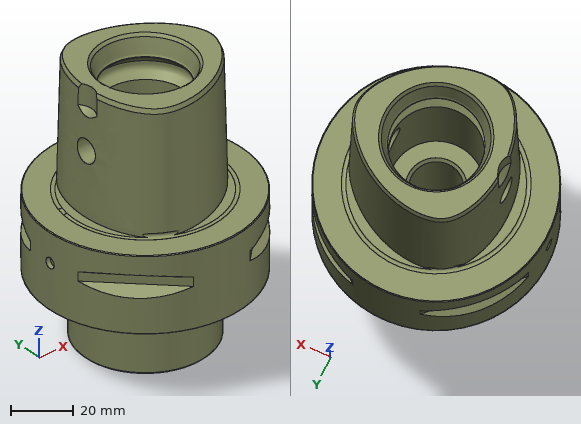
import cadquery as cq
import math

TOTAL_HEIGHT = 103.0
SHANK_HEIGHT = 48.0
FLANGE_HEIGHT = 30.0
FLANGE_TOP = TOTAL_HEIGHT - SHANK_HEIGHT
FLANGE_BOTTOM = FLANGE_TOP - FLANGE_HEIGHT

FLANGE_RADIUS = 80.0 / 2
FLANGE_CHAMFER = 0.3
BOSS_RADIUS = 50.0 / 2
BOSS_CHAMFER = 0.9
BOSS_FILLET = 2.0

LOBE_MEAN_RADIUS = 27.5
LOBE_ECCENTRICITY = 2.0
TAPER_PER_SIDE = 1 / 40
LOBE_CORNER_ANGLE = 26.3
STRAIGHT_BAND = 2.0
SHANK_CHAMFER_INSET = 0.7
SHANK_CHAMFER_HEIGHT = 1.6
SHANK_ROOT_DEPTH = 2.1
LOBE_COUNT = 3

RELIEF_RING_RADIUS = 29.8
RELIEF_SECTION_RADIUS = 1.0
RELIEF_RISE = 0.7

MOUTH_RADIUS = 18.5
MOUTH_CHAMFER_DEPTH = 1.1
FUNNEL_TOP_RADIUS = 17.6
FUNNEL_BOTTOM_RADIUS = 32.0 / 2
FUNNEL_DEPTH = 6.9
LIP_RADIUS = 31.3 / 2
LIP_TOP_DEPTH = 7.5
LIP_BOTTOM_DEPTH = 7.8
CLAMP_GROOVE_RADIUS = 38.0 / 2
CLAMP_GROOVE_DEPTH = LIP_BOTTOM_DEPTH + CLAMP_GROOVE_RADIUS - LIP_RADIUS
CLAMP_FILLET_DEPTH = 12.5
CLAMP_FILLET_RADIUS = 2.5
CLAMP_FLOOR_SLOPE = math.radians(35)
BORE_RADIUS = 31.1 / 2
BORE_DEPTH = 51.5
THROUGH_RADIUS = 17.8 / 2
THROUGH_CHAMFER = 1.0

CROSS_HOLE_DIAMETER = 9.1
CROSS_HOLE_DEPTH = 23.3
CROSS_HOLE_FLOOR_X = 18.5
NOTCH_RADIUS = 6.9
NOTCH_DEEPEST_X = -22.5
NOTCH_DEPTH = 8.1
NOTCH_TIP_ANGLE = 90.0
DRILL_TIP_ANGLE = 118.0

RIM_FEATURE_HEIGHT = 43.2
GRIP_FLOOR_DISTANCE = 35.4
GRIP_FLOOR_HEIGHT = 3.5
GRIP_SIDE_ANGLE = math.radians(30)
GRIP_COUNT = 4
DIMPLE_DIAMETER = 4.0
DIMPLE_DEPTH = 1.9
POCKET_DIAMETER = 9.1
POCKET_DEPTH = 4.5


def revolve_profile(profile):
    """Turn a closed (radius, height) profile about the Z axis."""
    return profile.close().revolve(360, (0, 0, 0), (0, 1, 0))


def lobe_point(angle, mean_radius, height):
    """Point of the three-lobed outline whose outward normal has the given angle."""
    e = LOBE_ECCENTRICITY
    x = mean_radius * math.cos(angle) + 2 * e * math.cos(2 * angle) - e * math.cos(4 * angle)
    y = mean_radius * math.sin(angle) - 2 * e * math.sin(2 * angle) - e * math.sin(4 * angle)
    return cq.Vector(x, y, height)


def lobe_edge(start, end, mean_radius, height, steps=12):
    """Smooth stretch of the outline between two normal angles, in degrees."""
    angles = [math.radians(start + (end - start) * i / steps) for i in range(steps + 1)]
    return cq.Edge.makeSpline([lobe_point(a, mean_radius, height) for a in angles])


def lobe_wire(mean_radius, height):
    """Closed outline made of three rounded corners and three flatter flanks."""
    pitch = 360 / LOBE_COUNT
    edges = []
    for i in range(LOBE_COUNT):
        corner_start = i * pitch - LOBE_CORNER_ANGLE
        corner_end = i * pitch + LOBE_CORNER_ANGLE
        flank_end = corner_start + pitch
        edges.append(lobe_edge(corner_start, corner_end, mean_radius, height))
        edges.append(lobe_edge(corner_end, flank_end, mean_radius, height))
    return cq.Wire.assembleEdges(edges)


def make_shank():
    band_top = FLANGE_TOP + STRAIGHT_BAND
    chamfer_bottom = TOTAL_HEIGHT - SHANK_CHAMFER_HEIGHT
    top_radius = LOBE_MEAN_RADIUS - (chamfer_bottom - band_top) * TAPER_PER_SIDE
    sections = [
        lobe_wire(LOBE_MEAN_RADIUS, FLANGE_TOP - SHANK_ROOT_DEPTH),
        lobe_wire(LOBE_MEAN_RADIUS, band_top),
        lobe_wire(top_radius, chamfer_bottom),
        lobe_wire(top_radius - SHANK_CHAMFER_INSET, TOTAL_HEIGHT),
    ]
    return cq.Workplane(obj=cq.Solid.makeLoft(sections, True))


def make_flange_and_boss():
    fillet_middle = BOSS_FILLET * (1 - math.sqrt(0.5))
    profile = (
        cq.Workplane("XZ")
        .lineTo(BOSS_RADIUS - BOSS_CHAMFER, 0)
        .lineTo(BOSS_RADIUS, BOSS_CHAMFER)
        .lineTo(BOSS_RADIUS, FLANGE_BOTTOM - BOSS_FILLET)
        .threePointArc(
            (BOSS_RADIUS + fillet_middle, FLANGE_BOTTOM - fillet_middle),
            (BOSS_RADIUS + BOSS_FILLET, FLANGE_BOTTOM),
        )
        .lineTo(FLANGE_RADIUS - FLANGE_CHAMFER, FLANGE_BOTTOM)
        .lineTo(FLANGE_RADIUS, FLANGE_BOTTOM + FLANGE_CHAMFER)
        .lineTo(FLANGE_RADIUS, FLANGE_TOP - FLANGE_CHAMFER)
        .lineTo(FLANGE_RADIUS - FLANGE_CHAMFER, FLANGE_TOP)
        .lineTo(0, FLANGE_TOP)
    )
    return revolve_profile(profile)


def make_relief_groove():
    """Ring of round section that dips into the flange face and trims the shank corners."""
    section = cq.Workplane("XZ").center(RELIEF_RING_RADIUS, FLANGE_TOP + RELIEF_RISE)
    return section.circle(RELIEF_SECTION_RADIUS).revolve(
        360, (-RELIEF_RING_RADIUS, 0, 0), (-RELIEF_RING_RADIUS, 1, 0)
    )


def make_bore():
    def at(radius, depth):
        return (radius, TOTAL_HEIGHT - depth)

    def fillet_point(turn):
        radius = CLAMP_GROOVE_RADIUS - CLAMP_FILLET_RADIUS * (1 - math.cos(turn))
        return at(radius, CLAMP_FILLET_DEPTH + CLAMP_FILLET_RADIUS * math.sin(turn))

    fillet_turn = math.pi / 2 - CLAMP_FLOOR_SLOPE
    fillet_end = fillet_point(fillet_turn)
    slope_drop = (fillet_end[0] - BORE_RADIUS) * math.tan(CLAMP_FLOOR_SLOPE)
    profile = (
        cq.Workplane("XZ")
        .moveTo(*at(0, 0))
        .lineTo(*at(MOUTH_RADIUS, 0))
        .lineTo(*at(FUNNEL_TOP_RADIUS, MOUTH_CHAMFER_DEPTH))
        .lineTo(*at(FUNNEL_BOTTOM_RADIUS, FUNNEL_DEPTH))
        .lineTo(*at(LIP_RADIUS, LIP_TOP_DEPTH))
        .lineTo(*at(LIP_RADIUS, LIP_BOTTOM_DEPTH))
        .lineTo(*at(CLAMP_GROOVE_RADIUS, CLAMP_GROOVE_DEPTH))
        .lineTo(*at(CLAMP_GROOVE_RADIUS, CLAMP_FILLET_DEPTH))
        .threePointArc(fillet_point(fillet_turn / 2), fillet_end)
        .lineTo(BORE_RADIUS, fillet_end[1] - slope_drop)
        .lineTo(*at(BORE_RADIUS, BORE_DEPTH))
        .lineTo(*at(THROUGH_RADIUS + THROUGH_CHAMFER, BORE_DEPTH))
        .lineTo(*at(THROUGH_RADIUS, BORE_DEPTH + THROUGH_CHAMFER))
        .lineTo(*at(THROUGH_RADIUS, TOTAL_HEIGHT))
        .lineTo(0, 0)
    )
    return revolve_profile(profile)


def make_drill(radius, length, tip_angle):
    """Drill shape that starts at the origin and runs down, with its tip beyond the length."""
    tip = radius / math.tan(math.radians(tip_angle / 2))
    profile = (
        cq.Workplane("XZ")
        .lineTo(radius, 0)
        .lineTo(radius, -length)
        .lineTo(0, -length - tip)
    )
    return revolve_profile(profile)


def make_radial_drill(radius, floor_x, height):
    """Drill that enters from the -X side; its full diameter ends at floor_x."""
    drill = make_drill(radius, FLANGE_RADIUS + floor_x, DRILL_TIP_ANGLE)
    return drill.rotate((0, 0, 0), (0, 1, 0), -90).translate((-FLANGE_RADIUS, 0, height))


def make_cross_hole_and_notch():
    hole_height = TOTAL_HEIGHT - CROSS_HOLE_DEPTH
    hole = make_radial_drill(CROSS_HOLE_DIAMETER / 2, CROSS_HOLE_FLOOR_X, hole_height)
    notch = make_drill(NOTCH_RADIUS, NOTCH_DEPTH, NOTCH_TIP_ANGLE)
    return hole.union(notch.translate((NOTCH_DEEPEST_X - NOTCH_RADIUS, 0, TOTAL_HEIGHT)))


def make_rim_dimple():
    return make_radial_drill(DIMPLE_DIAMETER / 2, DIMPLE_DEPTH - FLANGE_RADIUS, RIM_FEATURE_HEIGHT)


def make_rim_pocket():
    pocket = cq.Workplane("YZ").circle(POCKET_DIAMETER / 2).extrude(POCKET_DEPTH)
    return pocket.translate((FLANGE_RADIUS - POCKET_DEPTH, 0, RIM_FEATURE_HEIGHT))


def make_grip_grooves():
    """Straight grooves with flat floors and sloping sides, spaced evenly round the flange."""
    depth = FLANGE_RADIUS - GRIP_FLOOR_DISTANCE
    floor_half = GRIP_FLOOR_HEIGHT / 2
    mouth_half = floor_half + depth * math.tan(GRIP_SIDE_ANGLE)
    groove = (
        cq.Workplane("XZ")
        .moveTo(GRIP_FLOOR_DISTANCE, RIM_FEATURE_HEIGHT - floor_half)
        .lineTo(FLANGE_RADIUS, RIM_FEATURE_HEIGHT - mouth_half)
        .lineTo(FLANGE_RADIUS, RIM_FEATURE_HEIGHT + mouth_half)
        .lineTo(GRIP_FLOOR_DISTANCE, RIM_FEATURE_HEIGHT + floor_half)
        .close()
        .extrude(FLANGE_RADIUS, both=True)
    )
    pitch = 360 / GRIP_COUNT
    grooves = [groove.rotate((0, 0, 0), (0, 0, 1), (i + 0.5) * pitch) for i in range(GRIP_COUNT)]
    return grooves


body = make_flange_and_boss().union(make_shank())
body = body.cut(make_relief_groove())
body = body.cut(make_bore())
body = body.cut(make_cross_hole_and_notch())
for grip_groove in make_grip_grooves():
    body = body.cut(grip_groove)
body = body.cut(make_rim_dimple())

result = body.cut(make_rim_pocket())